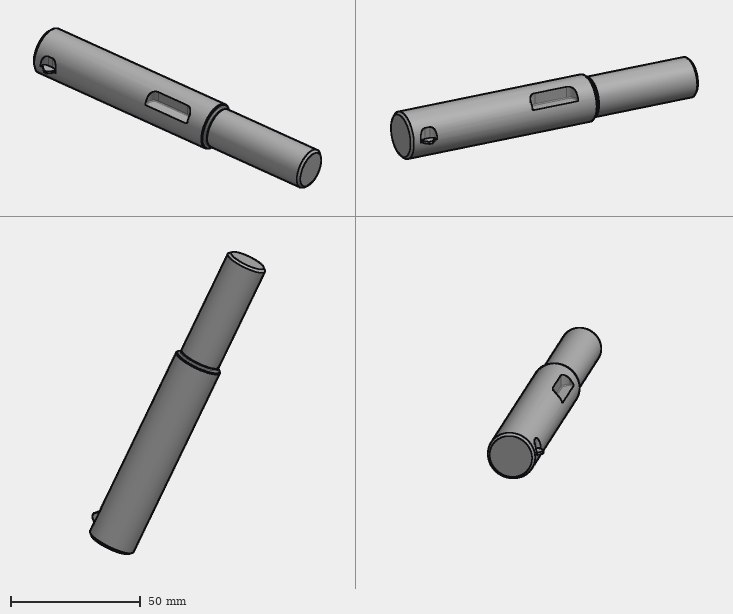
import cadquery as cq

total_length = 125.0
body_length = 80.2
body_diameter = 18.8
shank_diameter = 16.0
end_chamfer = 1.0
shoulder_chamfer = 0.4

groove_diameter = 15.6
groove_width = 1.5
groove_ramp_length = 0.4
groove_root_radius = 0.4

corner_radius = 3.0
slot_centre_x = 62.6
slot_length = 19.8
slot_floor_z = 3.6
slot_wall_y = -4.1
slot_floor_fillet = 0.4
cutter_x = 7.5
cutter_pocket_length = 8.0
cutter_floor_z = 0.0
cutter_wall_y = -7.9

tip_reach = 11.1
tip_edge_width = 1.4
tip_base_width = 6.0
tip_base_y = -8.8
tip_thickness = 1.0
tip_root_y = -6.2


def make_bar():
    """Turned bar with body, relief groove and shank."""
    body_radius = body_diameter / 2
    shank_radius = shank_diameter / 2
    groove_radius = groove_diameter / 2
    groove_end = body_length + groove_width
    return (
        cq.Workplane("XY")
        .moveTo(0, 0)
        .lineTo(0, body_radius - end_chamfer)
        .lineTo(end_chamfer, body_radius)
        .lineTo(body_length - shoulder_chamfer, body_radius)
        .lineTo(body_length, body_radius - shoulder_chamfer)
        .lineTo(body_length, groove_radius + groove_root_radius)
        .radiusArc((body_length + groove_root_radius, groove_radius), -groove_root_radius)
        .lineTo(groove_end - groove_ramp_length, groove_radius)
        .lineTo(groove_end, shank_radius)
        .lineTo(total_length - end_chamfer, shank_radius)
        .lineTo(total_length, shank_radius - end_chamfer)
        .lineTo(total_length, 0)
        .close()
        .revolve(360, (0, 0, 0), (1, 0, 0))
    )


def make_pocket(centre_x, length, wall_y, floor_z):
    """Cutter for a pocket open towards -Y and +Z."""
    return (
        cq.Workplane("XY", origin=(centre_x, wall_y, floor_z))
        .rect(length, 2 * body_diameter)
        .extrude(body_diameter)
        .translate((0, -body_diameter, 0))
        .edges("|Z and >Y")
        .fillet(corner_radius)
    )


def make_tip():
    """Cutting tip set half its thickness into the pocket floor."""
    half_edge = tip_edge_width / 2
    half_base = tip_base_width / 2
    return (
        cq.Workplane("XY", origin=(cutter_x, 0, cutter_floor_z))
        .polyline([
            (-half_base, tip_root_y),
            (-half_base, tip_base_y),
            (-half_edge, -tip_reach),
            (half_edge, -tip_reach),
            (half_base, tip_base_y),
            (half_base, tip_root_y),
        ])
        .close()
        .extrude(tip_thickness / 2, both=True)
    )


slot = make_pocket(slot_centre_x, slot_length, slot_wall_y, slot_floor_z)
slot = slot.faces("<Z").edges(">Y").fillet(slot_floor_fillet)
cutter_pocket = make_pocket(cutter_x, cutter_pocket_length, cutter_wall_y, cutter_floor_z)

result = make_bar().cut(slot).cut(cutter_pocket).union(make_tip())